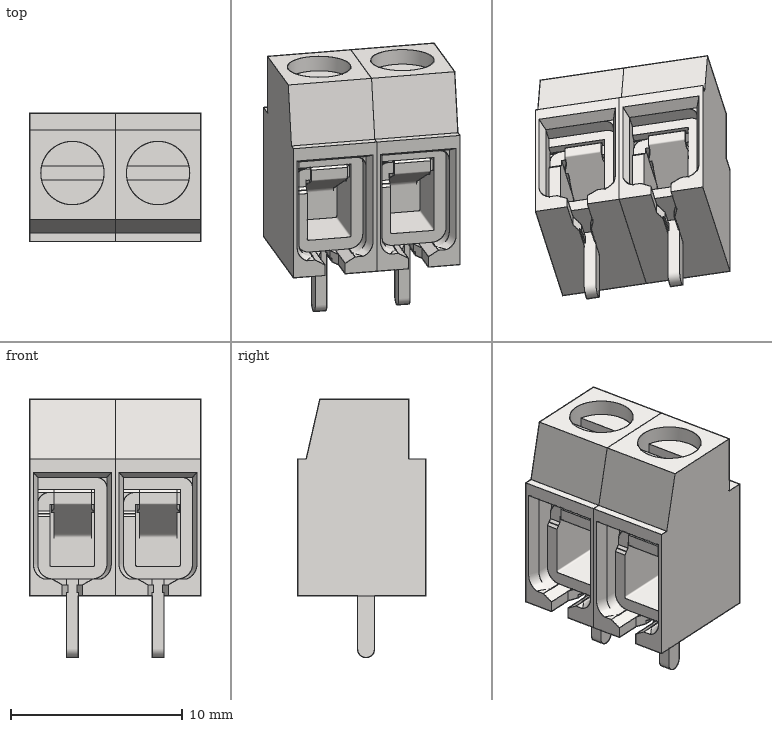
import cadquery as cq


pole_count = 2
pitch = 5.0
depth = 7.5
height = 11.5
shoulder_height = 8.0
front_ledge = 0.5
rear_ledge = 1.0
top_front = 1.3
pole_x = pitch / 2
pole_y = 4.0

screw_diameter = 3.7
screw_recess = 0.9
driver_slot_width = 0.8
driver_slot_depth = 0.8

pin_width = 0.7
pin_thickness = 1.0
pin_length = 3.6
pin_top = 1.0

entry_inset = 0.26
entry_roof_inset = 0.3
entry_left = 0.22
entry_right = 4.77
entry_top = 7.22
entry_floor = 1.0
entry_floor_drop = 0.06
entry_inner_left = entry_left + entry_inset
entry_inner_right = entry_right - entry_inset
entry_roof = entry_top - entry_roof_inset
entry_taper_depth = 0.65
entry_depth = 1.46
entry_arc_height = 1.85
entry_upper_radius = 0.6

cage_left = 1.18
cage_right = 3.8
cage_floor = 1.73
cage_opening_top = 5.34
cage_top = 6.23
cage_back = 5.0
cage_bevel = 0.19
cage_floor_radius = 0.1
cage_corner_radius = 0.65
cage_corner_depth = 0.1
side_step_bottoms = [4.63, 4.81]
side_step = 0.15
cage_front = entry_depth + len(side_step_bottoms) * side_step

leaf_left = 1.43
leaf_right = 3.6
leaf_lip_front = 1.5
leaf_lip_top = cage_top - cage_bevel
leaf_slope_end = 3.55
leaf_root = 0.3
leaf_lip_radius = 0.1
leaf_bend_radius = 0.25
ear_overhang = 0.15
ear_bottom = 4.87
ear_start = 1.95
ear_end = 2.3

slot_width = 1.2
slot_straight = 1.6
slot_height = 0.65
slot_neck_width = 0.54
slot_neck_start = 2.4
slot_bevel_width = 2.4
slot_foot_height = 0.2
pin_reveal = 0.1


def box(x0, x1, y0, y1, z0, z1):
    return cq.Workplane("XY").box(x1 - x0, y1 - y0, z1 - z0, centered=False).translate((x0, y0, z0))


def side_profile(points, x0, x1):
    """Prism along X from (y, z) points."""
    return cq.Workplane("YZ").polyline(points).close().extrude(x1 - x0).translate((x0, 0, 0))


def front_profile(points, y0, y1):
    """Prism along Y from (x, z) points."""
    return cq.Workplane("XZ").polyline(points).close().extrude(y0 - y1).translate((0, y0, 0))


def round_edge_at(body, point, radius):
    """Fillet the edge whose middle lies nearest the given point."""
    return body.edges(cq.selectors.NearestToPointSelector(point)).fillet(radius)


def housing_block():
    outline = [
        (0, 0),
        (depth, 0),
        (depth, shoulder_height),
        (depth - rear_ledge, shoulder_height),
        (depth - rear_ledge, height),
        (top_front, height),
        (front_ledge, shoulder_height),
        (0, shoulder_height),
    ]
    return side_profile(outline, 0, pitch)


def screw_cut():
    recess_floor = height - screw_recess
    recess = cq.Workplane("XY", origin=(pole_x, pole_y, recess_floor)).circle(screw_diameter / 2)
    recess = recess.extrude(screw_recess)
    slot = cq.Workplane("XY", origin=(pole_x, pole_y, recess_floor - driver_slot_depth))
    slot = slot.circle(screw_diameter / 2).extrude(driver_slot_depth)
    half_slot = driver_slot_width / 2
    band = box(0, pitch, pole_y - half_slot, pole_y + half_slot, 0, height)
    return recess.union(slot.intersect(band))


def entry_outline(plane, left, right, bottom, top):
    """Rectangle with round lower corners, drawn on an XZ plane."""
    radius = entry_arc_height - bottom
    return (
        plane.moveTo(left, top)
        .lineTo(right, top)
        .lineTo(right, entry_arc_height)
        .radiusArc((right - radius, bottom), radius)
        .lineTo(left + radius, bottom)
        .radiusArc((left, entry_arc_height), radius)
        .close()
    )


def entry_cut():
    """Funnel narrowing into a straight stretch, both cut off flat at the floor."""
    inner = (entry_inner_left, entry_inner_right, entry_floor, entry_roof)
    mouth = (entry_left, entry_right, entry_floor - entry_floor_drop, entry_top)
    funnel = entry_outline(cq.Workplane("XZ"), *mouth).workplane(offset=-entry_taper_depth)
    funnel = entry_outline(funnel, *inner).loft(ruled=True)
    above_floor = box(0, pitch, 0, depth, entry_floor, height)
    straight = entry_outline(cq.Workplane("XZ", origin=(0, entry_taper_depth, 0)), *inner)
    straight = straight.extrude(entry_taper_depth - entry_depth)
    straight = straight.edges("|Y").edges(">X and >Z").fillet(entry_upper_radius)
    return funnel.intersect(above_floor).union(straight)


def cage_cut():
    tube = box(cage_left, cage_right, entry_depth, cage_back, cage_floor, cage_opening_top)
    tube = tube.edges("|Y and <Z").fillet(cage_floor_radius)
    upper = box(entry_inner_left, cage_right, entry_depth, cage_front, cage_opening_top, cage_top)
    bevel = side_profile(
        [
            (cage_front, cage_top - cage_bevel),
            (cage_front + cage_bevel, cage_top),
            (cage_front, cage_top),
        ],
        entry_inner_left,
        cage_right,
    )
    corner_top = cage_top - cage_bevel
    corner = box(
        entry_inner_left,
        entry_inner_left + cage_corner_radius,
        cage_front,
        cage_front + cage_corner_depth,
        corner_top - cage_corner_radius,
        corner_top,
    )
    corner_round = cq.Workplane(
        "XZ", origin=(entry_inner_left + cage_corner_radius, cage_front, corner_top - cage_corner_radius)
    )
    corner_round = corner_round.circle(cage_corner_radius).extrude(-cage_corner_depth)
    cut = tube.union(upper).union(bevel).union(corner.cut(corner_round))
    for index, bottom in enumerate(side_step_bottoms):
        y0 = entry_depth + index * side_step
        step = [
            (y0, bottom),
            (y0 + side_step, bottom + side_step),
            (y0 + side_step, cage_opening_top),
            (y0, cage_opening_top),
        ]
        cut = cut.union(side_profile(step, entry_inner_left, cage_left))
    return cut


def guard_leaf():
    """Leaf hanging into the cage: upright lip, sloped underside, and a root bent into the back wall."""
    outline = [
        (leaf_lip_front, cage_opening_top),
        (leaf_lip_front, leaf_lip_top),
        (leaf_lip_front + cage_bevel, cage_top),
        (cage_back + leaf_root, cage_top),
        (cage_back + leaf_root, cage_floor),
        (cage_back, cage_floor),
        (cage_back, leaf_slope_end),
    ]
    leaf_middle = (leaf_left + leaf_right) / 2
    lip_corner = (leaf_middle, leaf_lip_front, cage_opening_top)
    bend = (leaf_middle, cage_back, leaf_slope_end)
    leaf = side_profile(outline, leaf_left, leaf_right)
    leaf = round_edge_at(leaf, lip_corner, leaf_lip_radius)
    leaf = round_edge_at(leaf, bend, leaf_bend_radius)
    ears = [
        (leaf_left, ear_start),
        (leaf_left - ear_overhang, ear_end),
        (leaf_left - ear_overhang, cage_back),
        (leaf_right + ear_overhang, cage_back),
        (leaf_right + ear_overhang, ear_end),
        (leaf_right, ear_start),
    ]
    ear_block = cq.Workplane("XY", origin=(0, 0, ear_bottom)).polyline(ears).close()
    ear_block = ear_block.extrude(cage_top - ear_bottom)
    above_slope = side_profile(outline, 0, pitch)
    return leaf.union(ear_block.intersect(above_slope))


def floor_slot_cut():
    half = slot_width / 2
    half_neck = slot_neck_width / 2
    half_bevel = slot_bevel_width / 2
    pin_front = pole_y - pin_thickness / 2
    plan = [
        (pole_x - half, 0),
        (pole_x + half, 0),
        (pole_x + half, slot_straight),
        (pole_x + half_neck, slot_neck_start),
        (pole_x + half_neck, pin_front),
        (pole_x - half_neck, pin_front),
        (pole_x - half_neck, slot_neck_start),
        (pole_x - half, slot_straight),
    ]
    slot = cq.Workplane("XY").polyline(plan).close().extrude(slot_height)
    bevels = front_profile(
        [
            (pole_x - half, slot_height),
            (pole_x + half, slot_height),
            (pole_x + half_bevel, entry_floor),
            (pole_x - half_bevel, entry_floor),
        ],
        0,
        pin_front + pin_reveal,
    )
    foot = box(
        pole_x - pin_width / 2, pole_x + pin_width / 2, entry_depth, pin_front, 0, slot_foot_height
    )
    return slot.union(bevels).union(foot)


def solder_pin():
    half = pin_thickness / 2
    profile = (
        cq.Workplane("YZ")
        .moveTo(pole_y - half, pin_top)
        .lineTo(pole_y - half, half - pin_length)
        .threePointArc((pole_y, -pin_length), (pole_y + half, half - pin_length))
        .lineTo(pole_y + half, pin_top)
        .close()
    )
    return profile.extrude(pin_width).translate((pole_x - pin_width / 2, 0, 0))


def terminal_module():
    module = housing_block().cut(screw_cut())
    for cut in (entry_cut(), cage_cut(), floor_slot_cut()):
        module = module.cut(cut)
    return module.union(guard_leaf()).union(solder_pin())


module = terminal_module()
modules = [module.translate((index * pitch, 0, 0)).solids().val() for index in range(pole_count)]
result = cq.Compound.makeCompound(modules)